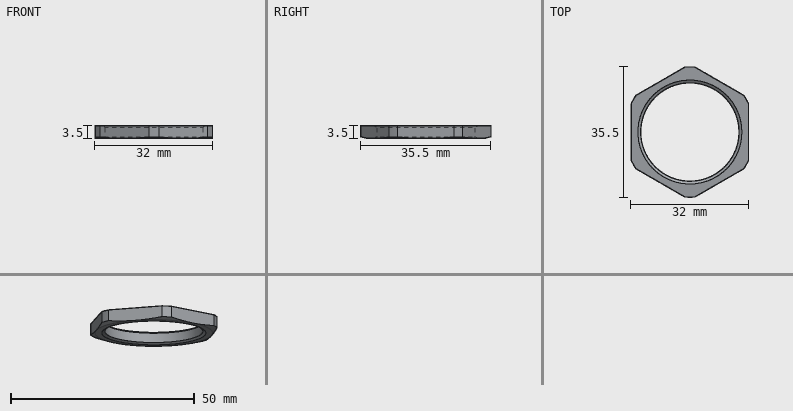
import cadquery as cq
import math

hexagon_sides = 6
across_flats = 32.0
corner_diameter = 35.5
thickness = 3.5
bore_diameter = 26.7
bore_chamfer = 0.8
bore_chamfer_angle = 30.0
underside_diameter = across_flats
bevel_angle = 15.0


def hexagon_blank():
    """Hexagonal plate with flats facing +X and -X and corners on the Y axis."""
    half_side_angle = 180.0 / hexagon_sides
    across_corners = across_flats / math.cos(math.radians(half_side_angle))
    return (
        cq.Workplane("XY")
        .polygon(hexagon_sides, across_corners)
        .extrude(thickness)
        .rotate((0, 0, 0), (0, 0, 1), half_side_angle)
    )


def corner_envelope():
    """Disc with a conical underside; it trims and bevels the hexagon corners."""
    outer_radius = corner_diameter / 2
    underside_radius = underside_diameter / 2
    bevel_height = (outer_radius - underside_radius) * math.tan(math.radians(bevel_angle))
    return (
        cq.Workplane("XZ")
        .moveTo(0, 0)
        .lineTo(underside_radius, 0)
        .lineTo(outer_radius, bevel_height)
        .lineTo(outer_radius, thickness)
        .lineTo(0, thickness)
        .close()
        .revolve(360, (0, 0, 0), (0, 1, 0))
    )


def bore_cutter():
    """Through bore with a shallow chamfer at both ends."""
    bore_radius = bore_diameter / 2
    mouth_radius = bore_radius + bore_chamfer
    chamfer_depth = bore_chamfer * math.tan(math.radians(bore_chamfer_angle))
    return (
        cq.Workplane("XZ")
        .moveTo(0, 0)
        .lineTo(mouth_radius, 0)
        .lineTo(bore_radius, chamfer_depth)
        .lineTo(bore_radius, thickness - chamfer_depth)
        .lineTo(mouth_radius, thickness)
        .lineTo(0, thickness)
        .close()
        .revolve(360, (0, 0, 0), (0, 1, 0))
    )


result = hexagon_blank().intersect(corner_envelope()).cut(bore_cutter())